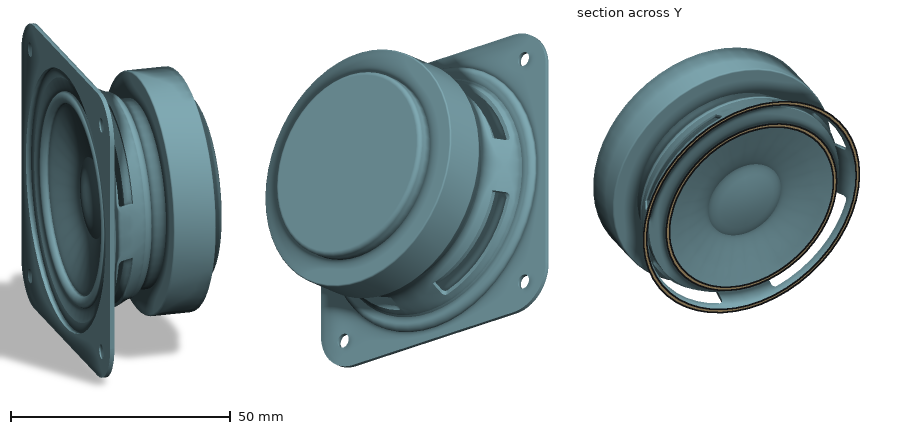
import cadquery as cq
import math


plate_size = 68.1
plate_thickness = 1.0
plate_corner_radius = 9.65
hole_spacing = 54.6
hole_diameter = 3.35
pocket_radius = 61.0 / 2
pocket_depth = 1.2

lip_radius = 31.4
lip_back = 2.6
lip_fillet = 1.4
cone_root_chamfer = 0.4
basket_front_radius = 27.9
basket_back_radius = 23.8
basket_back = 11.6
shell_thickness = 0.95

shoulder_start = 11.8
shoulder_end = 13.55
shoulder_end_radius = 22.4
shoulder_arc_radius = 1.9
yoke_blend_end = 14.15
yoke_blend_radius = 0.7

strut_width = 12.8
window_front = 4.5
window_back = 8.45
window_corner_radius = 1.0

total_depth = 30.6
motor_front = 6.6
motor_front_radius = 24.5
yoke_radius = 43.8 / 2
yoke_fillet = 0.95
magnet_radius = 56.3 / 2
magnet_front = 17.1
magnet_back = 27.1
magnet_fillet = 0.35

rim_radius = 56.3 / 2
surround_outer_radius = 24.9
surround_inner_radius = 22.05
surround_outer_depth = 2.2
surround_inner_depth = 2.7
surround_roll_front = 1.15
dome_radius = 9.4
dome_depth = 6.3
dome_height = 1.35
diaphragm_thickness = motor_front - dome_depth

cone_front = lip_back + cone_root_chamfer
basket_slope = (basket_front_radius - basket_back_radius) / (basket_back - cone_front)


def basket_inner_radius(depth):
    """Inner radius of the conical basket shell at a given depth."""
    outer_radius = basket_back_radius + basket_slope * (basket_back - depth)
    return outer_radius - shell_thickness


def turn(profile):
    """Revolve a (radius, depth) profile about the driver axis."""
    return profile.close().revolve(360, (0, 0, 0), (0, 1, 0))


def disc(radius, front, back):
    """Round disc on the driver axis between two depths."""
    return cq.Workplane("XZ", origin=(0, front, 0)).circle(radius).extrude(front - back)


def make_plate():
    """Square plate with rounded corners and four mounting holes."""
    plate = cq.Workplane("XZ").rect(plate_size, plate_size).extrude(-plate_thickness)
    plate = plate.edges("|Y").fillet(plate_corner_radius)
    holes = (
        cq.Workplane("XZ")
        .rect(hole_spacing, hole_spacing, forConstruction=True)
        .vertices()
        .circle(hole_diameter / 2)
        .extrude(-plate_thickness)
    )
    return plate.cut(holes)


def make_basket():
    """Conical shell with a rounded front lip and a rounded rear shoulder."""
    lip_arc = lip_fillet * math.sqrt(0.5)
    outside = turn(
        cq.Workplane("XY")
        .moveTo(0, plate_thickness)
        .lineTo(lip_radius, plate_thickness)
        .lineTo(lip_radius, lip_back - lip_fillet)
        .threePointArc(
            (lip_radius - lip_fillet + lip_arc, lip_back - lip_fillet + lip_arc),
            (lip_radius - lip_fillet, lip_back),
        )
        .lineTo(basket_front_radius + cone_root_chamfer, lip_back)
        .lineTo(basket_front_radius, cone_front)
        .lineTo(basket_back_radius, basket_back)
        .lineTo(basket_back_radius, shoulder_start)
        .radiusArc((shoulder_end_radius, shoulder_end), -shoulder_arc_radius)
        .radiusArc((yoke_radius, yoke_blend_end), yoke_blend_radius)
        .lineTo(0, yoke_blend_end)
    )
    cavity = turn(
        cq.Workplane("XY")
        .moveTo(0, pocket_depth)
        .lineTo(rim_radius, pocket_depth)
        .lineTo(basket_inner_radius(lip_back), lip_back)
        .lineTo(basket_inner_radius(window_back), window_back)
        .lineTo(0, window_back)
    )
    return outside.cut(cavity)


def cut_windows(frame):
    """Open the shell in the four quadrants, leaving struts along X and Z."""
    reach = plate_size / 2
    window = (
        cq.Workplane("XY")
        .box(reach, window_back - window_front, reach, centered=False)
        .translate((strut_width / 2, window_front, strut_width / 2))
    )
    window = window.faces("<Y").edges("<X or <Z").fillet(window_corner_radius)
    for quadrant in range(4):
        frame = frame.cut(window.rotate((0, 0, 0), (0, 1, 0), 90 * quadrant))
    return frame


def make_motor():
    """Stepped motor body: front disc inside the basket, yoke and magnet ring."""
    front_disc = disc(motor_front_radius, motor_front, window_back)
    yoke = disc(yoke_radius, window_back, total_depth).faces(">Y").edges().fillet(yoke_fillet)
    magnet = disc(magnet_radius, magnet_front, magnet_back).edges().fillet(magnet_fillet)
    return front_disc.union(yoke).union(magnet)


def make_diaphragm():
    """Dust cap, thin cone, half-round surround and the sloping rim outside it."""
    surround_center = (surround_inner_radius + surround_outer_radius) / 2
    dome_sphere = (dome_radius**2 + dome_height**2) / (2 * dome_height)
    dome_half_angle = math.asin(dome_radius / dome_sphere) / 2
    dome_middle = (
        dome_sphere * math.sin(dome_half_angle),
        dome_depth - dome_height + dome_sphere * (1 - math.cos(dome_half_angle)),
    )
    surround_back = surround_inner_depth + diaphragm_thickness
    return turn(
        cq.Workplane("XY")
        .moveTo(0, dome_depth - dome_height)
        .threePointArc(dome_middle, (dome_radius, dome_depth))
        .lineTo(surround_inner_radius, surround_inner_depth)
        .threePointArc(
            (surround_center, surround_roll_front),
            (surround_outer_radius, surround_outer_depth),
        )
        .lineTo(rim_radius, pocket_depth)
        .lineTo(rim_radius, lip_back)
        .lineTo(basket_inner_radius(surround_back), surround_back)
        .lineTo(surround_inner_radius, surround_back)
        .lineTo(dome_radius, motor_front)
        .lineTo(0, motor_front)
    )


frame = make_plate().union(make_basket()).cut(disc(pocket_radius, 0, pocket_depth))
result = cut_windows(frame).union(make_motor()).union(make_diaphragm())